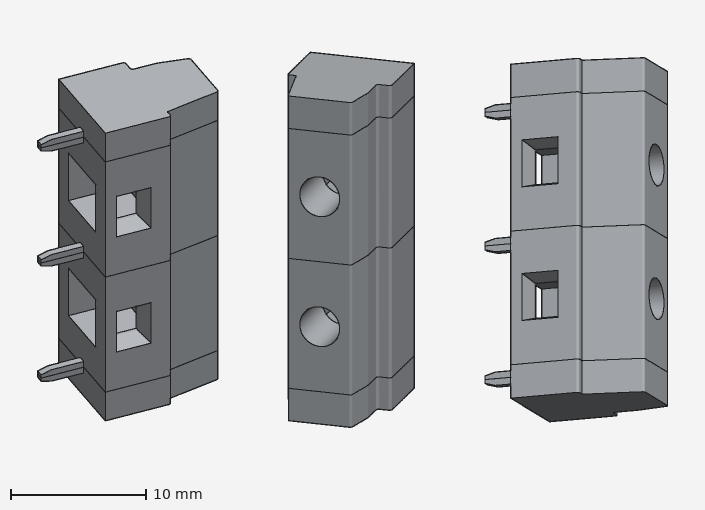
import cadquery as cq
import math


total_height = 25.4
module_count = 2
cap_height = 2.55
module_pitch = (total_height - 2 * cap_height) / module_count

base_width = 8.1
overall_depth = 13.5
block_depth = 10.0
shoulder_y = 5.4
left_shoulder_width = 1.12
right_shoulder_width = 0.69
left_top_inset = 1.57
right_top_inset = 1.57
left_slant_depth = 2.55
edge_radius = 0.23

pin_width = 0.6
pin_height = 1.02
pin_length = overall_depth - block_depth
pin_tip_length = 0.85
pin_tip_inset = 0.23

pocket_width = 4.7
pocket_height = 4.2
screw_hole_diameter = 3.1

throat_setback = 1.35
throat_depth = 1.98
throat_rim = 0.74
throat_height = pocket_height - 2 * throat_rim
throat_length = 0.3
mouth_angle = 17
pocket_depth = throat_depth + 2 * throat_setback

right_x = base_width / 2
left_x = -right_x


def block_section(bottom_z, height):
    """Plain slice of the block profile."""
    left_neck_x = left_x + left_shoulder_width
    right_neck_x = right_x - right_shoulder_width
    right_base_corner = (right_x, shoulder_y)
    right_top_corner = (right_x - right_top_inset, block_depth)
    left_top_corner = (left_x + left_top_inset, block_depth)
    left_neck_corner = (left_neck_x, shoulder_y)
    left_base_corner = (left_x, shoulder_y)
    outline = [
        (left_x, 0),
        (right_x, 0),
        right_base_corner,
        (right_neck_x, shoulder_y),
        right_top_corner,
        left_top_corner,
        (left_neck_x, block_depth - left_slant_depth),
        left_neck_corner,
        left_base_corner,
    ]
    rounded_corners = [
        right_base_corner,
        right_top_corner,
        left_top_corner,
        left_neck_corner,
        left_base_corner,
    ]
    section = cq.Workplane("XY").workplane(offset=bottom_z).polyline(outline).close().extrude(height)
    for x, y in rounded_corners:
        edge = cq.selectors.NearestToPointSelector((x, y, bottom_z + height / 2))
        section = section.edges("|Z").edges(edge).fillet(edge_radius)
    return section


def half_pin(joint_z, side):
    """Half of a tapered pin, above (side = 1) or below (side = -1) a joint face."""
    outer_z = joint_z + side * pin_height / 2
    tip_z = outer_z - side * pin_tip_inset
    outline = [
        (0, joint_z),
        (-pin_length, joint_z),
        (-pin_length, tip_z),
        (pin_tip_length - pin_length, outer_z),
        (0, outer_z),
    ]
    return cq.Workplane("YZ").polyline(outline).close().extrude(pin_width / 2, both=True)


def wire_entry(middle_z):
    """Cutter for the throat and its mouth, which flares out to the +X face."""
    pocket_wall_x = pocket_width / 2
    mouth_x = pocket_wall_x + throat_length
    mouth_length = right_x - mouth_x
    middle_y = throat_setback + throat_depth / 2
    flare = 2 * mouth_length * math.tan(math.radians(mouth_angle))
    throat_plane = cq.Workplane("YZ", origin=(0, middle_y, middle_z))
    throat = throat_plane.rect(throat_depth, throat_height).extrude(mouth_x)
    mouth = (
        throat_plane.workplane(offset=mouth_x)
        .rect(throat_depth, throat_height)
        .workplane(offset=mouth_length)
        .rect(throat_depth + flare, throat_height + flare)
        .loft(ruled=True)
    )
    return throat.union(mouth)


def end_cap(bottom_z, joint_z, pin_side):
    """Closing slice that carries one half pin at its joint face."""
    return block_section(bottom_z, cap_height).union(half_pin(joint_z, pin_side))


def terminal_module(bottom_z):
    """Slice with the clamp pocket, screw hole and wire entry, and a half pin at each joint face."""
    top_z = bottom_z + module_pitch
    middle_z = bottom_z + module_pitch / 2
    pocket = cq.Workplane("XY").box(pocket_width, pocket_depth, pocket_height, centered=(True, False, True))
    screw_hole = cq.Workplane("XZ").circle(screw_hole_diameter / 2).extrude(-block_depth)
    return (
        block_section(bottom_z, module_pitch)
        .cut(pocket.translate((0, 0, middle_z)))
        .cut(screw_hole.translate((0, 0, middle_z)))
        .cut(wire_entry(middle_z))
        .union(half_pin(bottom_z, 1))
        .union(half_pin(top_z, -1))
    )


top_joint_z = total_height - cap_height
bottom_cap = end_cap(0, cap_height, -1)
top_cap = end_cap(top_joint_z, top_joint_z, 1)
modules = [terminal_module(cap_height + i * module_pitch) for i in range(module_count)]

result = cq.Compound.makeCompound(
    [bottom_cap.val(), *[module.val() for module in modules], top_cap.val()]
)